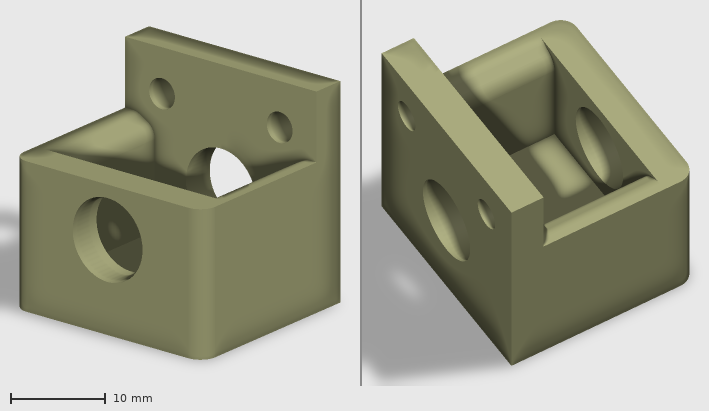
import cadquery as cq
import math

width = 26.0
depth = 23.0
height = 25.0
box_height = 17.0
wall = 4.0
corner_radius = 2.0

bore_diameter = 9.5
bore_z = 10.75
screw_diameter = 3.5
screw_spacing = 16.0
screw_z = 19.75

rim = 0.95
ease_radius = 2.0
slope_angle = math.radians(30)

cavity_front = wall
cavity_back = depth - wall


def make_body():
    box = cq.Workplane("XY").box(width, depth, box_height, centered=(True, False, False))
    plate = (
        cq.Workplane("XY")
        .box(width, wall, height, centered=(True, False, False))
        .translate((0, cavity_back, 0))
    )
    rounded_box = box.edges("|Z and <Y").fillet(corner_radius)
    return rounded_box.union(plate)


def make_cavity():
    """Open-topped pocket with straight walls."""
    return (
        cq.Workplane("XY")
        .box(width - 2 * wall, cavity_back - cavity_front, box_height, centered=(True, False, False))
        .translate((0, cavity_front, wall))
    )


def make_edge_cut():
    """Material removed from the inner top edge of the left side wall."""
    rim_x = -width / 2 + rim
    inner_x = -width / 2 + wall
    upper_center = (rim_x, box_height - ease_radius)

    lower_center_x = inner_x - ease_radius
    lower_center_z = upper_center[1] - (lower_center_x - rim_x) * math.tan(slope_angle)
    lower_center = (lower_center_x, lower_center_z)

    def arc_point(center, angle):
        """Point on an arc, with the angle measured from straight up toward the cavity."""
        return (
            center[0] + ease_radius * math.sin(angle),
            center[1] + ease_radius * math.cos(angle),
        )

    right_angle = math.pi / 2
    profile = (
        cq.Workplane("XZ", origin=(0, cavity_back, 0))
        .moveTo(inner_x, box_height)
        .lineTo(rim_x, box_height)
        .threePointArc(arc_point(upper_center, slope_angle / 2), arc_point(upper_center, slope_angle))
        .lineTo(*arc_point(lower_center, slope_angle))
        .threePointArc(
            arc_point(lower_center, (slope_angle + right_angle) / 2),
            arc_point(lower_center, right_angle),
        )
        .close()
    )
    return profile.extrude(cavity_back - cavity_front)


def make_hole(diameter, x, z):
    return (
        cq.Workplane("XZ", origin=(0, depth, 0))
        .center(x, z)
        .circle(diameter / 2)
        .extrude(depth)
    )


left_edge_cut = make_edge_cut()
result = (
    make_body()
    .cut(make_cavity())
    .cut(left_edge_cut)
    .cut(left_edge_cut.mirror("YZ"))
    .cut(make_hole(bore_diameter, 0, bore_z))
)
for side in (-1, 1):
    result = result.cut(make_hole(screw_diameter, side * screw_spacing / 2, screw_z))